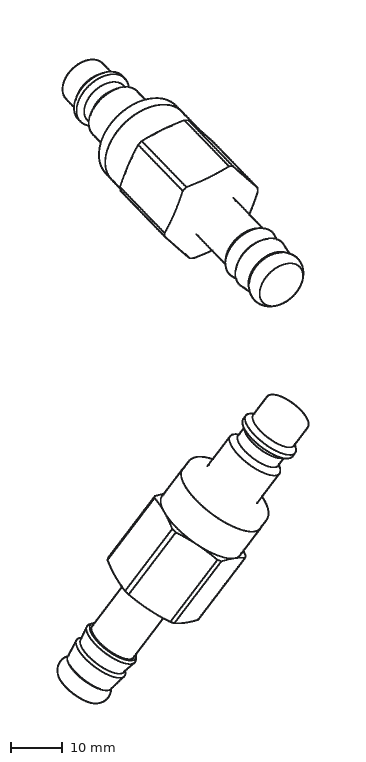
import cadquery as cq
import math

nose_end = 5.1
groove_start, groove_end = 8.1, 10.45
shoulder_start = 11.5
collar_start = 20.0
collar_band_end = 23.05
hex_start, hex_end = 30.0, 46.9
barb_start, second_barb_start, bead_start = 60.3, 63.9, 68.3
overall_length = 72.0

nose_radius = 9.9 / 2
groove_radius = 9.7 / 2
shoulder_radius = 12.0 / 2
collar_band_radius = 18.9 / 2
body_radius = 19.0 / 2
tail_radius = 10.1 / 2
barb_crest_radius = 5.8
barb_root_radius = 5.25
first_barb_radius = 5.5
bead_radius = 5.8
bead_edge_radius = 5.0

nose_rounding = 0.4
ring_chamfer = shoulder_radius - nose_radius
ring_land = 0.9
shoulder_flank_sagitta = 0.15
shoulder_fillet = 0.8
collar_rounding = 0.9
tail_fillet = 1.1
barb_lead = 0.6

across_flats = 2 * body_radius
hex_corner_radius = 21.4 / 2
hex_turn = 5.0
hex_chamfer_angle = 15.0


def arc_middle(center, radius, degrees):
    """Point on a circle, used as the middle of a quarter arc."""
    angle = math.radians(degrees)
    return center[0] + radius * math.cos(angle), center[1] + radius * math.sin(angle)


def turned_body():
    """Nose, ring, shoulder, collar and barbed tail as one revolved profile."""
    ring_top = nose_end + ring_chamfer
    nose_center = (nose_rounding, nose_radius - nose_rounding)
    shoulder_center = (collar_start - shoulder_fillet, shoulder_radius + shoulder_fillet)
    collar_center = (collar_start + collar_rounding, collar_band_radius - collar_rounding)
    tail_center = (hex_end + tail_fillet, tail_radius + tail_fillet)
    profile = (
        cq.Workplane("XY")
        .moveTo(0, 0)
        .lineTo(0, nose_center[1])
        .threePointArc(arc_middle(nose_center, nose_rounding, 135), (nose_rounding, nose_radius))
        .lineTo(nose_end, nose_radius)
        .lineTo(ring_top, shoulder_radius)
        .lineTo(ring_top + ring_land, shoulder_radius)
        .lineTo(groove_start, groove_radius)
        .lineTo(groove_end, groove_radius)
        .sagittaArc((shoulder_start, shoulder_radius), -shoulder_flank_sagitta)
        .lineTo(shoulder_center[0], shoulder_radius)
        .threePointArc(
            arc_middle(shoulder_center, shoulder_fillet, -45), (collar_start, shoulder_center[1])
        )
        .lineTo(collar_start, collar_center[1])
        .threePointArc(
            arc_middle(collar_center, collar_rounding, 135), (collar_center[0], collar_band_radius)
        )
        .lineTo(collar_band_end, collar_band_radius)
        .lineTo(collar_band_end, body_radius)
        .lineTo(hex_end, body_radius)
        .lineTo(hex_end, tail_center[1])
        .threePointArc(arc_middle(tail_center, tail_fillet, -135), (tail_center[0], tail_radius))
        .lineTo(barb_start, tail_radius)
        .lineTo(barb_start, first_barb_radius)
    )
    for start, end in ((barb_start, second_barb_start), (second_barb_start, bead_start)):
        profile = (
            profile.lineTo(start + barb_lead, barb_crest_radius)
            .lineTo(end, barb_root_radius)
        )
    return (
        profile.lineTo(bead_start, bead_edge_radius)
        .threePointArc(
            ((bead_start + overall_length) / 2, bead_radius), (overall_length, bead_edge_radius)
        )
        .lineTo(overall_length, 0)
        .close()
        .revolve(360, (0, 0, 0), (1, 0, 0))
    )


def hexagon():
    """Wrench hexagon, turned about X, with its corners rounded and its ends chamfered."""
    prism = (
        cq.Workplane("YZ")
        .workplane(offset=hex_start)
        .polygon(6, across_flats / math.cos(math.radians(30)))
        .extrude(hex_end - hex_start)
        .rotate((0, 0, 0), (1, 0, 0), hex_turn)
    )
    chamfer_depth = hex_corner_radius - body_radius
    chamfer_length = chamfer_depth * math.tan(math.radians(hex_chamfer_angle))
    envelope = (
        cq.Workplane("XY")
        .moveTo(hex_start, 0)
        .lineTo(hex_start, body_radius)
        .lineTo(hex_start + chamfer_length, hex_corner_radius)
        .lineTo(hex_end - chamfer_length, hex_corner_radius)
        .lineTo(hex_end, body_radius)
        .lineTo(hex_end, 0)
        .close()
        .revolve(360, (0, 0, 0), (1, 0, 0))
    )
    return prism.intersect(envelope)


result = turned_body().union(hexagon())